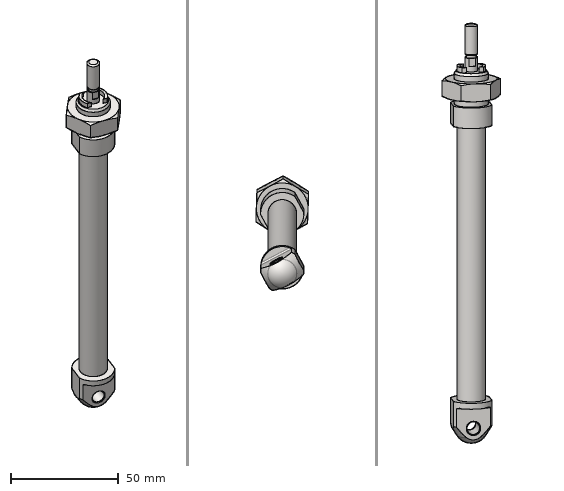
import cadquery as cq
import math

total_height = 199.0
end_cap_top = 20.9
end_flange_bottom = 18.1
collar_bottom = 151.5
collar_top = 161.2
nut_bottom = 164.5
nut_top = 173.1
neck_top = 177.0
lug_top = 179.3
rod_flat_bottom = 179.5
undercut_bottom = 183.3
undercut_top = 184.5

barrel_diameter = 13.3
cap_diameter = 20.0
cap_across_flats = 18.1

eye_thickness = 12.0
eye_nose_radius = 8.0
eye_cone_slope = 58.0
eye_root_fillet = 0.8
eye_hole_diameter = 6.0
eye_hole_height = 8.2
eye_hole_chamfer = 0.4

neck_diameter = 16.0
neck_tip_diameter = 14.3
neck_chamfer_height = 1.2
lug_inner_diameter = 10.5
lug_width = 8.8

hexagon_sides = 6
nut_across_flats = 24.0
nut_chamfer_slope = 20.0

rod_diameter = 6.0
rod_tip_diameter = 4.2
rod_tip_chamfer_height = 0.5
undercut_chamfer_height = 0.5
undercut_diameter = 4.8
rod_across_flats = 5.2


def cylinder(diameter, bottom, top):
    return cq.Workplane("XY").workplane(offset=bottom).circle(diameter / 2).extrude(top - bottom)


def slab(size_x, size_y, bottom, top):
    """Rectangular block centred on the Z axis."""
    return cq.Workplane("XY").workplane(offset=bottom).rect(size_x, size_y).extrude(top - bottom)


def flatted_cap(bottom, top):
    """Round cap with two parallel flats facing -Y and +Y."""
    return cylinder(cap_diameter, bottom, top).intersect(
        slab(cap_diameter, cap_across_flats, bottom, top)
    )


def nose_envelope():
    """Spherical nose running tangentially into a cone, then into the cap cylinder."""
    slope = math.radians(eye_cone_slope)
    cap_radius = cap_diameter / 2
    tangent_r = eye_nose_radius * math.sin(slope)
    tangent_z = eye_nose_radius * (1 - math.cos(slope))
    mid_r = eye_nose_radius * math.sin(slope / 2)
    mid_z = eye_nose_radius * (1 - math.cos(slope / 2))
    cone_top = tangent_z + (cap_radius - tangent_r) * math.tan(slope)
    return (
        cq.Workplane("XZ")
        .moveTo(0, 0)
        .threePointArc((mid_r, mid_z), (tangent_r, tangent_z))
        .lineTo(cap_radius, cone_top)
        .lineTo(cap_radius, end_cap_top)
        .lineTo(0, end_cap_top)
        .close()
        .revolve(360, (0, 0, 0), (0, 1, 0))
    )


def eye_profile():
    """Flange with the eye below it, filleted at the root, extruded along Y."""
    half_eye = eye_thickness / 2
    flange = slab(cap_diameter, cap_diameter, end_flange_bottom, end_cap_top)
    eye = slab(eye_thickness, cap_diameter, 0, end_flange_bottom)
    profile = flange.union(eye)
    for side in (-1, 1):
        root = cq.selectors.NearestToPointSelector((side * half_eye, 0, end_flange_bottom))
        profile = profile.edges("|Y").edges(root).fillet(eye_root_fillet)
    return profile


def eye_hole():
    """Cross hole along X, chamfered at both mouths."""
    half_eye = eye_thickness / 2
    hole_radius = eye_hole_diameter / 2
    mouth_radius = hole_radius + eye_hole_chamfer
    return (
        cq.Workplane("XY")
        .polyline([
            (-half_eye, 0),
            (-half_eye, mouth_radius),
            (-half_eye + eye_hole_chamfer, hole_radius),
            (half_eye - eye_hole_chamfer, hole_radius),
            (half_eye, mouth_radius),
            (half_eye, 0),
        ])
        .close()
        .revolve(360, (0, 0, 0), (1, 0, 0))
        .translate((0, 0, eye_hole_height))
    )


def make_end_cap():
    return flatted_cap(0, end_cap_top).intersect(nose_envelope()).intersect(eye_profile()).cut(eye_hole())


def make_neck():
    chamfer_width = (neck_diameter - neck_tip_diameter) / 2
    return (
        cylinder(neck_diameter, collar_top, neck_top)
        .faces(">Z")
        .chamfer(neck_chamfer_height, chamfer_width)
    )


def make_lugs():
    """Two ring segments standing on the neck at -Y and +Y."""
    ring = cylinder(barrel_diameter, neck_top, lug_top).cut(
        cylinder(lug_inner_diameter, neck_top, lug_top)
    )
    return ring.intersect(slab(lug_width, cap_diameter, neck_top, lug_top))


def make_housing():
    """Barrel with both caps, the threaded neck and a blind bore for the rod."""
    barrel = cylinder(barrel_diameter, end_cap_top, collar_bottom)
    collar = flatted_cap(collar_bottom, collar_top)
    rod_bore = cylinder(rod_diameter, collar_bottom, neck_top)
    return (
        make_end_cap()
        .union(barrel)
        .union(collar)
        .union(make_neck())
        .union(make_lugs())
        .cut(rod_bore)
    )


def make_nut():
    """Hexagon nut with corners on the Y axis, chamfered on both end faces."""
    corner_diameter = nut_across_flats / math.cos(math.pi / hexagon_sides)
    chamfer_width = (corner_diameter - nut_across_flats) / 2
    chamfer_height = chamfer_width * math.tan(math.radians(nut_chamfer_slope))
    hexagon = (
        cq.Workplane("XY")
        .workplane(offset=nut_bottom)
        .transformed(rotate=(0, 0, 90))
        .polygon(hexagon_sides, corner_diameter)
        .extrude(nut_top - nut_bottom)
    )
    corner_envelope = (
        cylinder(corner_diameter, nut_bottom, nut_top)
        .faces("<Z or >Z")
        .chamfer(chamfer_height, chamfer_width)
    )
    return hexagon.intersect(corner_envelope).cut(cylinder(neck_diameter, nut_bottom, nut_top))


def make_rod():
    """Piston rod with wrench flats, an undercut and a thread chamfered at both ends."""
    shank = cylinder(rod_diameter, collar_bottom, rod_flat_bottom)
    flatted_section = cylinder(rod_diameter, rod_flat_bottom, undercut_bottom).intersect(
        slab(rod_across_flats, rod_diameter, rod_flat_bottom, undercut_bottom)
    )
    shank = shank.union(flatted_section)
    undercut = cylinder(undercut_diameter, undercut_bottom, undercut_top)
    undercut_chamfer_width = (rod_diameter - undercut_diameter) / 2
    tip_chamfer_width = (rod_diameter - rod_tip_diameter) / 2
    thread = (
        cylinder(rod_diameter, undercut_top, total_height)
        .faces(">Z")
        .chamfer(rod_tip_chamfer_height, tip_chamfer_width)
        .faces("<Z")
        .chamfer(undercut_chamfer_height, undercut_chamfer_width)
    )
    return shank.union(undercut).union(thread)


housing = make_housing()
nut = make_nut()
rod = make_rod()

result = cq.Compound.makeCompound([housing.val(), nut.val(), rod.val()])